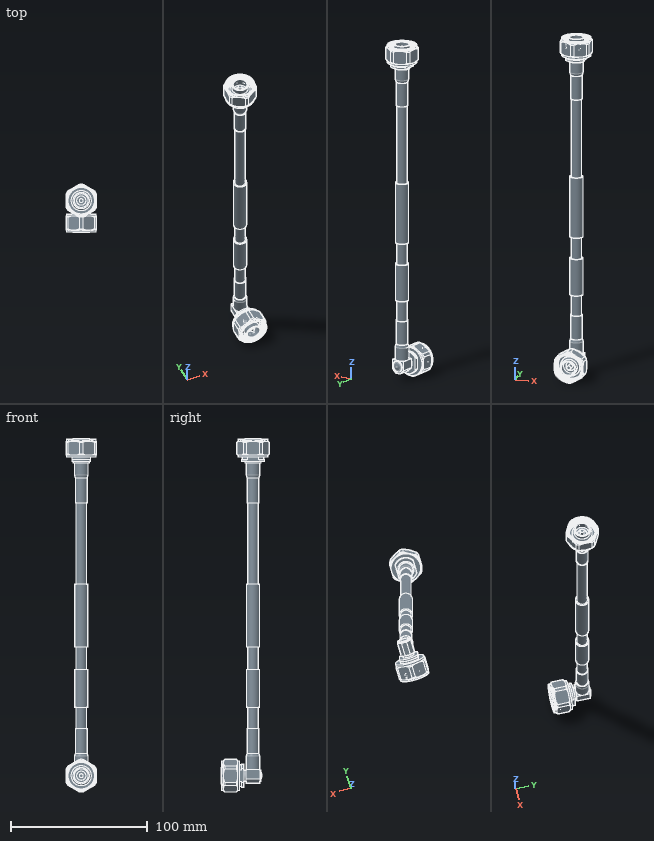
import cadquery as cq
import math

cable_diameter = 7.8
boot_diameter = 8.8
marker_diameter = 9.8
ferrule_diameter = 10.0
lower_ferrule_top = 14.2
lower_cable_end = 16.3
upper_cable_end = 218.0
upper_ferrule_bottom = 220.3
boot_length = 18.0
long_marker_bottom = 94.2
long_marker_top = 140.3
short_marker_bottom = 50.0
short_marker_top = 78.0

x_axis = ((0, 0, 0), (1, 0, 0))
quarter_turn = 90

nut_sides = 6
nut_across_flats = 22.0
nut_corner_diameter = 24.0
nut_rim_diameter = 21.7
nut_rim_length = 1.5
nut_chamfer = 0.8
nut_length = 13.2
nut_bore_depth = 8.3
thread_minor_diameter = 19.5
thread_major_diameter = 20.2
thread_pitch = 1.0
thread_turns = 6
tube_diameter = 14.8
tube_tip_diameter = 12.0
tube_taper_start = 3.5
tube_taper_length = 1.3
tube_protrusion = 0.4
socket_diameter = 10.0
socket_depth = 5.7
well_diameter = 6.7
well_depth = 1.3
pin_diameter = 2.8
pin_recess = 1.5
neck_diameter = 16.0
neck_length = 1.5
flange_diameter = 17.0
flange_length = 1.5
flange_across_flats = 13.7
head_length = nut_length + neck_length + flange_length

collar_diameter = 12.0
collar_length = 1.3
straight_face_z = 246.5

elbow_face_y = -23.0
elbow_neck_diameter = 8.3
block_size = 10.0
block_drop = 0.5
block_chamfer = 3.0
cap_diameter = 8.3
cap_rim_height = 0.8
cap_cone_diameter = 6.2
cap_tip_diameter = 1.0
cap_cone_height = 0.8


def cylinder(diameter, bottom, top):
    """Solid cylinder on the Z axis between two heights."""
    return cq.Workplane("XY").workplane(offset=bottom).circle(diameter / 2).extrude(top - bottom)


def cone(bottom_diameter, top_diameter, bottom, top):
    """Solid truncated cone on the Z axis between two heights."""
    base = cq.Workplane("XY").workplane(offset=bottom).circle(bottom_diameter / 2)
    return base.workplane(offset=top - bottom).circle(top_diameter / 2).loft()


def sleeve(outer_diameter, bottom, top):
    """Tube that fits around the cable between two heights."""
    return cylinder(outer_diameter, bottom, top).cut(cylinder(cable_diameter, bottom, top))


def threaded_bore():
    """Space inside the nut: a bore with one V groove per turn of thread, the first at Z = 0."""
    minor_radius = thread_minor_diameter / 2
    major_radius = thread_major_diameter / 2
    profile = [(0, 0), (major_radius, 0)]
    for turn in range(thread_turns):
        crest_z = -(turn + 0.5) * thread_pitch
        profile.append((minor_radius, crest_z))
        profile.append((major_radius, crest_z - thread_pitch / 2))
    profile.append((minor_radius, -(thread_turns + 0.5) * thread_pitch))
    profile.append((minor_radius, -nut_bore_depth))
    profile.append((0, -nut_bore_depth))
    return cq.Workplane("XZ").polyline(profile).close().revolve(360, (0, 0, 0), (0, 1, 0))


def coupling_nut():
    """Hexagonal nut with round corners, chamfered ends and a round rim at each end; face at Z = 0."""
    hex_bottom = nut_rim_length - nut_length
    hex_length = nut_length - 2 * nut_rim_length
    corner_to_corner = nut_across_flats / math.cos(math.pi / nut_sides)
    hexagon = (
        cq.Workplane("XY")
        .workplane(offset=hex_bottom)
        .transformed(rotate=(0, 0, 180 / nut_sides))
        .polygon(nut_sides, corner_to_corner)
        .extrude(hex_length)
    )
    round_limit = cylinder(nut_corner_diameter, hex_bottom, -nut_rim_length).edges().chamfer(nut_chamfer)
    rims = cylinder(nut_rim_diameter, -nut_length, 0)
    return hexagon.intersect(round_limit).union(rims).cut(threaded_bore())


def contact_tube():
    """Tube standing in the nut, thicker at its foot, with a socket around a pin."""
    taper_bottom = -tube_taper_start - tube_taper_length
    floor_z = -socket_depth - well_depth
    tube = cylinder(tube_diameter, -nut_bore_depth, taper_bottom)
    tube = tube.union(cone(tube_diameter, tube_tip_diameter, taper_bottom, -tube_taper_start))
    tube = tube.union(cylinder(tube_tip_diameter, -tube_taper_start, tube_protrusion))
    tube = tube.cut(cylinder(socket_diameter, -socket_depth, tube_protrusion))
    tube = tube.cut(cylinder(well_diameter, floor_z, -socket_depth))
    pin = cylinder(pin_diameter, floor_z, -pin_recess)
    return tube.union(pin)


def rear_flange():
    """Neck and flange behind the nut, both cut by two flats facing +X and -X."""
    neck_bottom = -nut_length - neck_length
    rings = cylinder(neck_diameter, neck_bottom, -nut_length)
    rings = rings.union(cylinder(flange_diameter, -head_length, neck_bottom))
    flats = cq.Workplane("XY").box(flange_across_flats, flange_diameter, 2 * head_length)
    return rings.intersect(flats)


def coupling_head():
    """Mating end shared by both connectors, facing +Z with the nut's face at Z = 0."""
    return coupling_nut().union(contact_tube()).union(rear_flange())


def straight_connector():
    """Coupling head in line with the cable, on a collar and a ferrule with a tapered tail."""
    flange_bottom = straight_face_z - head_length
    collar_bottom = flange_bottom - collar_length
    head = coupling_head().translate((0, 0, straight_face_z))
    collar = cylinder(collar_diameter, collar_bottom, flange_bottom)
    ferrule = cylinder(ferrule_diameter, upper_ferrule_bottom, collar_bottom)
    tail = cone(boot_diameter, ferrule_diameter, upper_cable_end, upper_ferrule_bottom)
    return head.union(collar).union(ferrule).union(tail)


def elbow_connector():
    """Coupling head facing -Y on a square block, with the ferrule standing on the block."""
    head = coupling_head().rotate(*x_axis, quarter_turn).translate((0, elbow_face_y, 0))
    block = cq.Workplane("XY").box(block_size, block_size, block_size).translate((0, 0, -block_drop))
    block = block.edges("|Y and <Z").chamfer(block_chamfer)
    neck_length_y = -elbow_face_y - head_length
    neck = cq.Workplane("XZ").circle(elbow_neck_diameter / 2).extrude(neck_length_y)
    ferrule = cylinder(ferrule_diameter, block_size / 2 - block_drop, lower_ferrule_top)
    tail = cone(ferrule_diameter, boot_diameter, lower_ferrule_top, lower_cable_end)
    return block.union(neck).union(head).union(ferrule).union(tail)


def elbow_cap():
    """Round cover on the back of the elbow block, with a low cone on its outer face."""
    rim = cylinder(cap_diameter, 0, cap_rim_height)
    point = cone(cap_cone_diameter, cap_tip_diameter, cap_rim_height, cap_rim_height + cap_cone_height)
    cap = rim.union(point)
    return cap.rotate(*x_axis, -quarter_turn).translate((0, block_size / 2, 0))


cable = cylinder(cable_diameter, lower_cable_end, upper_cable_end)

boots = []
for boot_bottom in (lower_cable_end, upper_cable_end - boot_length):
    boots.append(sleeve(boot_diameter, boot_bottom, boot_bottom + boot_length).val())

markers = []
for marker_bottom, marker_top in (
    (short_marker_bottom, short_marker_top),
    (long_marker_bottom, long_marker_top),
):
    markers.append(sleeve(marker_diameter, marker_bottom, marker_top).val())

result = cq.Compound.makeCompound(
    [
        cable.val(),
        *boots,
        *markers,
        straight_connector().val(),
        elbow_connector().val(),
        elbow_cap().val(),
    ]
)